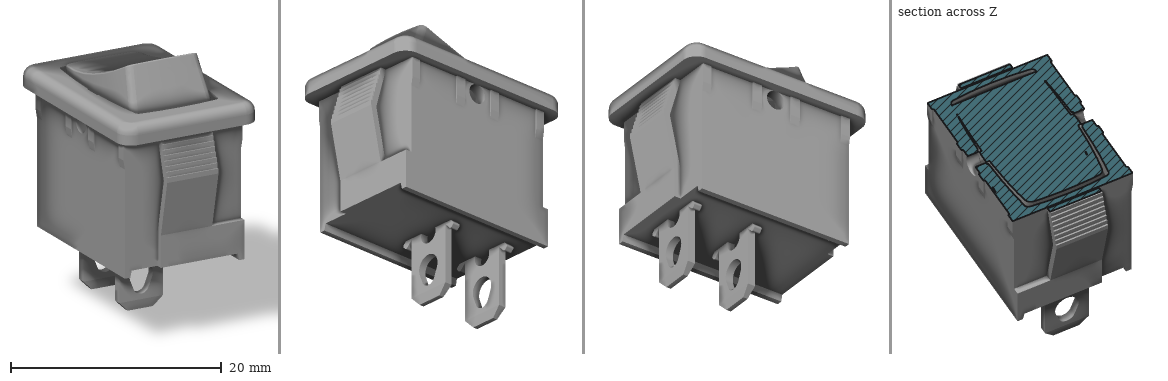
import cadquery as cq
import math

bezel_length = 20.82
bezel_width = 14.8
bezel_height = 2.0
bezel_corner = 1.51
bezel_fillet = 0.98

body_half_x = 8.55
body_half_y = 6.32
body_bottom = -13.97
recess_top = -13.28
foot_inner_top = 5.58
foot_inner_bottom = 5.75

rib_rise = 0.15
rib_straight = -2.05
rib_bottom = -2.97
corner_rib_width = 0.98
inner_rib_width = 1.05
inner_rib_offset = 2.2

opening_corner_x = 7.6
opening_corner_y = 4.45
opening_mid_x = 7.9
opening_mid_y = 5.02
opening_corner_radius = 0.4
opening_floor = -5.3

pivot_diameter = 2.0
pivot_z = -0.95
pivot_end = 5.13
pivot_slope_start = 0.53
pivot_slope_depth = 0.75

rocker_tilt = 16.8
rocker_base = -1.45
rocker_top = 5.29
rocker_base_outline = (7.22, 7.45, 4.57, 5.02)
rocker_top_outline = (6.43, 6.65, 3.77, 4.35)
rocker_corner_radius = 0.7
rocker_edge_fillet = 0.155
rocker_sag = 0.82

clip_half_width = 2.8
clip_top_x = 9.2
clip_knee_x = 10.46
clip_foot_x = 9.25
clip_thickness = 0.66
stairs_top = -0.32
clip_knee_z = -4.35
clip_foot_z = -10.0
step_count = 8

terminal_centers = (-6.99, 0.0)
terminal_thickness = 0.82
terminal_half_width = 2.36
terminal_bottom = -20.6
terminal_bevel = 0.98
terminal_tip_thickness = 0.5
terminal_root = -12.22
round_hole_diameter = 2.0
round_hole_z = -13.6
eye_upper_radius, eye_upper_z = 1.27, -17.1
eye_lower_radius, eye_lower_z = 0.88, -18.2
barb_root_y, barb_root_z = 2.4, -13.5
barb_width = 0.66
barb_length = 0.98
barb_end_fillet = 0.19


def box(x0, x1, y0, y1, z0, z1):
    """Axis-aligned block between two corners."""
    return cq.Workplane("XY").box(x1 - x0, y1 - y0, z1 - z0, centered=False).translate((x0, y0, z0))


def bowed_outline(plane, corner_x, mid_x, corner_y, mid_y):
    """Rectangle whose four sides bulge outwards as arcs."""
    return (
        plane.moveTo(-corner_x, -corner_y)
        .threePointArc((0, -mid_y), (corner_x, -corner_y))
        .threePointArc((mid_x, 0), (corner_x, corner_y))
        .threePointArc((0, mid_y), (-corner_x, corner_y))
        .threePointArc((-mid_x, 0), (-corner_x, -corner_y))
        .close()
    )


def make_bezel():
    plate = cq.Workplane("XY").rect(bezel_length, bezel_width).extrude(bezel_height)
    plate = plate.edges("|Z").fillet(bezel_corner)
    return plate.faces(">Z").edges().fillet(bezel_fillet)


def footed_profile(top):
    """Y-Z outline from the given top down to the two tapered feet."""
    return (
        cq.Workplane("YZ")
        .moveTo(-body_half_y, top)
        .lineTo(-body_half_y, body_bottom)
        .lineTo(-foot_inner_bottom, body_bottom)
        .lineTo(-foot_inner_top, recess_top)
        .lineTo(foot_inner_top, recess_top)
        .lineTo(foot_inner_bottom, body_bottom)
        .lineTo(body_half_y, body_bottom)
        .lineTo(body_half_y, top)
        .close()
    )


def make_rib(x_start, width):
    """One rib on both long walls, tapering out at its lower end."""
    rib_y = body_half_y + rib_rise
    return (
        cq.Workplane("YZ", origin=(x_start, 0, 0))
        .moveTo(-rib_y, 0)
        .lineTo(-rib_y, rib_straight)
        .lineTo(-body_half_y, rib_bottom)
        .lineTo(body_half_y, rib_bottom)
        .lineTo(rib_y, rib_straight)
        .lineTo(rib_y, 0)
        .close()
        .extrude(width)
    )


def make_body():
    body = footed_profile(0).extrude(body_half_x, both=True)
    inner_start = inner_rib_offset - inner_rib_width / 2
    for x_start, width in (
        (-body_half_x, corner_rib_width),
        (-inner_start - inner_rib_width, inner_rib_width),
        (inner_start, inner_rib_width),
        (body_half_x - corner_rib_width, corner_rib_width),
    ):
        body = body.union(make_rib(x_start, width))
    return body


def make_opening():
    """Rocker opening, the notches above the pivot and the pivot hole."""
    plane = cq.Workplane("XY", origin=(0, 0, opening_floor))
    outline = bowed_outline(plane, opening_corner_x, opening_mid_x, opening_corner_y, opening_mid_y)
    opening = outline.extrude(bezel_height - opening_floor)
    opening = opening.edges("|Z").fillet(opening_corner_radius)
    radius = pivot_diameter / 2
    notch = box(-radius, radius, -pivot_end, pivot_end, pivot_z, bezel_height)
    hole = (
        cq.Workplane("XZ", origin=(0, 0, pivot_z))
        .circle(radius)
        .extrude(body_half_y, both=True)
    )
    return opening.union(notch).union(hole)


def make_rocker():
    base = bowed_outline(cq.Workplane("XY", origin=(0, 0, rocker_base)), *rocker_base_outline)
    both = bowed_outline(base.workplane(offset=rocker_top - rocker_base), *rocker_top_outline)
    rocker = both.loft(ruled=True)
    rocker = rocker.edges("not(<Z or >Z)").fillet(rocker_corner_radius)

    half_length = rocker_top_outline[1]
    dish_radius = (half_length**2 + rocker_sag**2) / (2 * rocker_sag)
    dish = (
        cq.Workplane("XZ")
        .center(0, rocker_top - rocker_sag + dish_radius)
        .circle(dish_radius)
        .extrude(bezel_width, both=True)
    )
    rocker = rocker.cut(dish)
    rocker = rocker.faces("%CYLINDER").edges().fillet(rocker_edge_fillet)

    radius = pivot_diameter / 2
    pin = cq.Workplane("XZ").circle(radius).extrude(pivot_end, both=True)
    end_y = pivot_end - pivot_slope_depth
    pin_side = (
        cq.Workplane("YZ")
        .polyline([
            (-end_y, -radius), (-pivot_end, pivot_slope_start), (-pivot_end, radius),
            (pivot_end, radius), (pivot_end, pivot_slope_start), (end_y, -radius),
        ])
        .close()
        .extrude(radius, both=True)
    )
    rocker = rocker.cut(pin).union(pin.intersect(pin_side))
    return rocker.rotate((0, 0, 0), (0, 1, 0), -rocker_tilt).translate((0, 0, pivot_z))


def make_clip():
    """Spring arm with a stepped upper face, and the foot block it grows from (+X end)."""
    step_height = (stairs_top - clip_knee_z) / step_count
    step_depth = (clip_knee_x - clip_top_x) / step_count
    arm = cq.Workplane("XZ").moveTo(clip_top_x, 0).lineTo(clip_top_x, stairs_top)
    for step in range(1, step_count + 1):
        x = clip_top_x + step * step_depth
        arm = arm.lineTo(x, stairs_top - (step - 1) * step_height)
        arm = arm.lineTo(x, stairs_top - step * step_height)
    arm = (
        arm.lineTo(clip_foot_x, clip_foot_z)
        .lineTo(body_half_x, clip_foot_z)
        .lineTo(clip_knee_x - clip_thickness, clip_knee_z)
        .lineTo(body_half_x, 0)
        .close()
        .extrude(clip_half_width, both=True)
    )
    foot = footed_profile(clip_foot_z).extrude(clip_foot_x)
    foot = foot.intersect(
        box(body_half_x, clip_foot_x, -clip_half_width, body_half_y, body_bottom, clip_foot_z)
    )
    return arm.union(foot)


def make_terminal():
    """Flat blade across Y with a bevelled tip, two holes and two retaining barbs."""
    half = terminal_thickness / 2
    half_tip = terminal_tip_thickness / 2
    bevel_z = terminal_bottom + terminal_bevel
    tip_y = terminal_half_width - terminal_bevel
    blade = (
        cq.Workplane("YZ")
        .polyline([
            (-terminal_half_width, terminal_root), (-terminal_half_width, bevel_z),
            (-tip_y, terminal_bottom), (tip_y, terminal_bottom),
            (terminal_half_width, bevel_z), (terminal_half_width, terminal_root),
        ])
        .close()
        .extrude(half, both=True)
    )
    side = (
        cq.Workplane("XZ")
        .polyline([
            (-half, terminal_root), (-half, bevel_z), (-half_tip, terminal_bottom),
            (half_tip, terminal_bottom), (half, bevel_z), (half, terminal_root),
        ])
        .close()
        .extrude(terminal_half_width, both=True)
    )
    blade = blade.intersect(side)

    round_hole = (
        cq.Workplane("YZ")
        .center(0, round_hole_z)
        .circle(round_hole_diameter / 2)
        .extrude(half, both=True)
    )

    tangent = math.asin((eye_upper_radius - eye_lower_radius) / (eye_upper_z - eye_lower_z))
    across, down = math.cos(tangent), math.sin(tangent)
    upper_y = eye_upper_radius * across
    upper_z = eye_upper_z - eye_upper_radius * down
    lower_y = eye_lower_radius * across
    lower_z = eye_lower_z - eye_lower_radius * down
    eye = (
        cq.Workplane("YZ")
        .moveTo(-upper_y, upper_z)
        .threePointArc((0, eye_upper_z + eye_upper_radius), (upper_y, upper_z))
        .lineTo(lower_y, lower_z)
        .threePointArc((0, eye_lower_z - eye_lower_radius), (-lower_y, lower_z))
        .close()
        .extrude(half, both=True)
    )
    blade = blade.cut(round_hole).cut(eye)

    overlap = barb_width
    barb = box(-half, half, -overlap, barb_length, 0, barb_width)
    barb = barb.faces(">Y").edges("|X").fillet(barb_end_fillet)
    barb = barb.rotate((0, 0, 0), (1, 0, 0), -45).translate((0, barb_root_y, barb_root_z))
    return blade.union(barb).union(barb.mirror("XZ"))


result = make_bezel().union(make_body()).cut(make_opening()).union(make_rocker())
clip = make_clip()
result = result.union(clip).union(clip.mirror("YZ"))
terminal = make_terminal()
for center_x in terminal_centers:
    result = result.union(terminal.translate((center_x, 0, 0)))